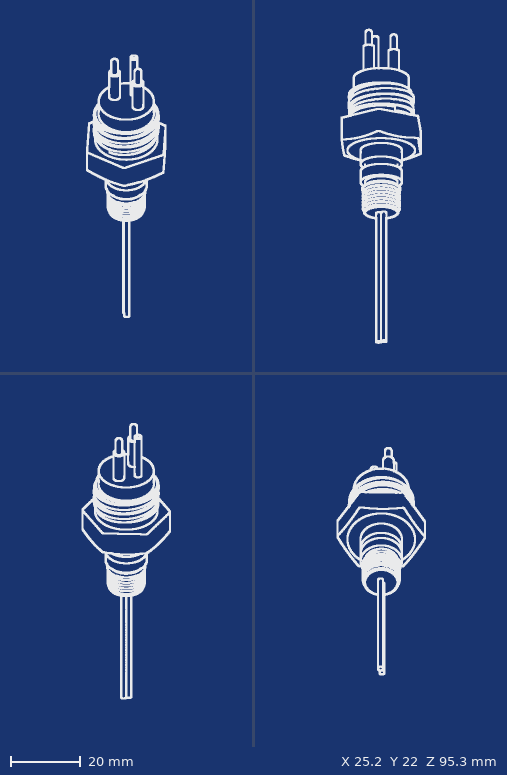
import cadquery as cq
import math

OVERALL_HEIGHT = 95.3
SLEEVE_TOP = 90.2
INSERT_TOP = 81.2
THREAD_TOP = 76.4
THREAD_BOTTOM = 69.3
HEX_TOP = 66.8
HEX_BOTTOM = 58.9
SHANK_BOTTOM = 54.7
COLLAR_TOP = 52.4
COLLAR_BOTTOM = 49.1
NECK_BOTTOM = 47.75
STEM_BOTTOM = 39.65

HEX_ACROSS_FLATS = 22.0
HEX_CORNER_RADIUS = 0.52
HEX_BEVEL_DIAMETER = 19.4
HEX_BEVEL_HEIGHT = 1.1
HEX_ACROSS_CORNERS = HEX_ACROSS_FLATS / math.cos(math.pi / 6)

THREAD_DIAMETER = 18.7
THREAD_ROOT_DIAMETER = 17.5
THREAD_PITCH = 3.2
GROOVE_WIDTH = THREAD_PITCH / 2
GROOVE_START = 69.0
RELIEF_DIAMETER = 17.7
THREAD_CHAMFER = (THREAD_DIAMETER - RELIEF_DIAMETER) / 2
FLARE_DIAMETER = 18.0
FLARE_HEIGHT = 0.6
CUT_MARGIN = 1.0

SHANK_DIAMETER = 11.9
NECK_DIAMETER = 9.4
STEM_GROOVE_FILLET = 0.3
TOP_CREST_DIAMETER = 11.1
CREST_DIAMETER = 10.7
END_CREST_DIAMETER = 10.0
ROOT_DIAMETER = 9.3
CREST_COUNT = 8
TOP_CREST_LEVEL = NECK_BOTTOM - (TOP_CREST_DIAMETER - NECK_DIAMETER) / 2
END_CREST_LEVEL = 39.9
CREST_PITCH = (TOP_CREST_LEVEL - END_CREST_LEVEL) / (CREST_COUNT - 1)

INSERT_DIAMETER = 15.9
INSERT_BOTTOM = HEX_TOP
SLEEVE_DIAMETER = 3.1

PIN_DIAMETER = 2.0
PIN_OFFSET = 4.0
GUIDE_TIP_DIAMETER = 1.3
GUIDE_CHAMFER = (PIN_DIAMETER - GUIDE_TIP_DIAMETER) / 2
CONTACT_PLACES = [(-PIN_OFFSET, 0), (PIN_OFFSET, 0)]
GUIDE_PLACE = (0, PIN_OFFSET)

WIRE_DIAMETER = 1.5
WIRE_OFFSET = WIRE_DIAMETER / 2 * math.cos(math.pi / 4)
WIRE_PLACES = [(-WIRE_OFFSET, WIRE_OFFSET), (WIRE_OFFSET, -WIRE_OFFSET)]


def cylinder(diameter, bottom, top, place=(0, 0)):
    """Upright cylinder between two levels."""
    return cq.Workplane("XY", origin=(*place, bottom)).circle(diameter / 2).extrude(top - bottom)


def turned(points):
    """Solid of revolution about Z from (diameter, level) points, closed along the axis."""
    outline = [(0, points[0][1])]
    outline += [(diameter / 2, level) for diameter, level in points]
    outline.append((0, points[-1][1]))
    return cq.Workplane("XZ").polyline(outline).close().revolve(360, (0, 0), (0, 1))


def make_hexagon():
    """Hexagon with rounded corners and a conical bevel on its underside."""
    prism = (
        cq.Workplane("XY", origin=(0, 0, HEX_BOTTOM))
        .polygon(6, HEX_ACROSS_CORNERS)
        .extrude(HEX_TOP - HEX_BOTTOM)
        .edges("|Z")
        .fillet(HEX_CORNER_RADIUS)
    )
    bevel = turned([
        (HEX_BEVEL_DIAMETER, HEX_BOTTOM),
        (HEX_ACROSS_CORNERS, HEX_BOTTOM + HEX_BEVEL_HEIGHT),
        (HEX_ACROSS_CORNERS, HEX_TOP),
    ])
    return prism.intersect(bevel)


def make_thread_groove():
    """Square helical cutter that starts on the -Y side and winds up past the thread top."""
    root_radius = THREAD_ROOT_DIAMETER / 2
    outer_radius = THREAD_DIAMETER / 2 + CUT_MARGIN
    path = cq.Wire.makeHelix(THREAD_PITCH, THREAD_TOP + GROOVE_WIDTH - GROOVE_START, root_radius)
    groove = (
        cq.Workplane("XZ")
        .center((root_radius + outer_radius) / 2, 0)
        .rect(outer_radius - root_radius, GROOVE_WIDTH)
        .sweep(cq.Workplane(path), isFrenet=True)
    )
    return groove.rotate((0, 0, 0), (0, 0, 1), -90).translate((0, 0, GROOVE_START))


def make_upper_barrel():
    """Threaded barrel above the hexagon, with a relief and a small flare at its foot."""
    blank_top = THREAD_TOP + 2 * THREAD_PITCH
    blank = turned([
        (FLARE_DIAMETER, HEX_TOP),
        (RELIEF_DIAMETER, HEX_TOP + FLARE_HEIGHT),
        (RELIEF_DIAMETER, THREAD_BOTTOM),
        (THREAD_DIAMETER, THREAD_BOTTOM + THREAD_CHAMFER),
        (THREAD_DIAMETER, blank_top),
    ])
    envelope = turned([
        (THREAD_DIAMETER, HEX_TOP),
        (THREAD_DIAMETER, THREAD_TOP - THREAD_CHAMFER),
        (RELIEF_DIAMETER, THREAD_TOP),
    ])
    return blank.cut(make_thread_groove()).intersect(envelope)


def make_stem():
    """Stepped stem below the hexagon: shank, filleted groove, collar, neck and V-shaped crests."""
    profile = [
        (SHANK_DIAMETER, HEX_BOTTOM),
        (SHANK_DIAMETER, SHANK_BOTTOM),
        (NECK_DIAMETER, SHANK_BOTTOM),
        (NECK_DIAMETER, COLLAR_TOP),
        (SHANK_DIAMETER, COLLAR_TOP),
        (SHANK_DIAMETER, COLLAR_BOTTOM),
        (NECK_DIAMETER, COLLAR_BOTTOM),
        (NECK_DIAMETER, NECK_BOTTOM),
        (TOP_CREST_DIAMETER, TOP_CREST_LEVEL),
    ]
    crest_diameters = (CREST_COUNT - 2) * [CREST_DIAMETER] + [END_CREST_DIAMETER]
    for index, diameter in enumerate(crest_diameters, start=1):
        crest_level = TOP_CREST_LEVEL - index * CREST_PITCH
        profile.append((ROOT_DIAMETER, crest_level + CREST_PITCH / 2))
        profile.append((diameter, crest_level))
    profile.append((ROOT_DIAMETER, STEM_BOTTOM))
    reach = NECK_DIAMETER / 2 + STEM_GROOVE_FILLET
    groove_floor = cq.selectors.BoxSelector(
        (-reach, -reach, COLLAR_TOP - STEM_GROOVE_FILLET),
        (reach, reach, SHANK_BOTTOM + STEM_GROOVE_FILLET),
        boundingbox=True,
    )
    return turned(profile).edges(groove_floor).edges("%CIRCLE").fillet(STEM_GROOVE_FILLET)


def make_housing():
    """Metal housing with a round pocket for the insert."""
    pocket = cylinder(INSERT_DIAMETER, INSERT_BOTTOM, THREAD_TOP)
    return make_hexagon().union(make_upper_barrel()).union(make_stem()).cut(pocket)


def make_insert():
    """Insulating plug with contact sleeves, bored for the contacts and the guide pin."""
    insert = cylinder(INSERT_DIAMETER, INSERT_BOTTOM, INSERT_TOP)
    for place in CONTACT_PLACES:
        insert = insert.union(cylinder(SLEEVE_DIAMETER, INSERT_TOP, SLEEVE_TOP, place))
    for place in [*CONTACT_PLACES, GUIDE_PLACE]:
        insert = insert.cut(cylinder(PIN_DIAMETER, INSERT_BOTTOM, SLEEVE_TOP, place))
    return insert


def make_contact(place):
    """Contact pin with a hemispherical tip."""
    radius = PIN_DIAMETER / 2
    dome_base = OVERALL_HEIGHT - radius
    dome = cq.Workplane("XY", origin=(*place, dome_base)).sphere(radius)
    return cylinder(PIN_DIAMETER, INSERT_BOTTOM, dome_base, place).union(dome)


def make_guide_pin():
    """Plain guide pin with a chamfered tip."""
    pin = cylinder(PIN_DIAMETER, INSERT_BOTTOM, OVERALL_HEIGHT, GUIDE_PLACE)
    return pin.faces(">Z").chamfer(GUIDE_CHAMFER)


def make_wire(place):
    """Insulated wire hanging from the end of the stem."""
    return cylinder(WIRE_DIAMETER, 0, STEM_BOTTOM, place)


housing = make_housing()
insert = make_insert()
contacts = [make_contact(place) for place in CONTACT_PLACES]
guide_pin = make_guide_pin()
wires = [make_wire(place) for place in WIRE_PLACES]

result = cq.Compound.makeCompound([
    housing.val(),
    insert.val(),
    *[contact.val() for contact in contacts],
    guide_pin.val(),
    *[wire.val() for wire in wires],
])